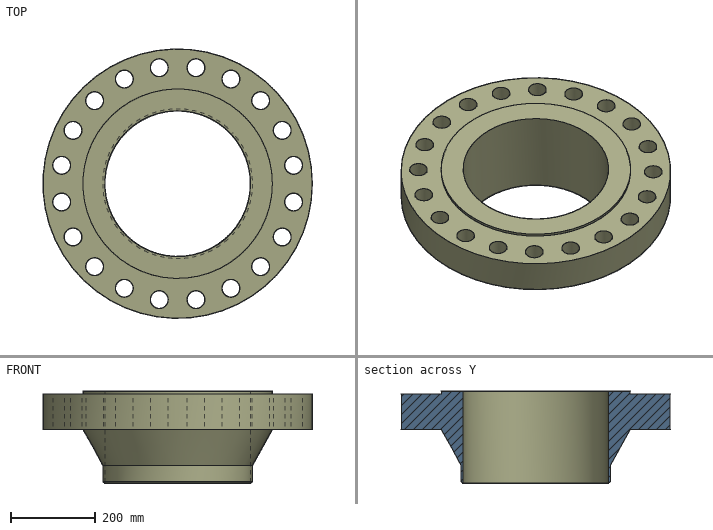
import cadquery as cq

flange_diameter = 641.5
total_height = 219.5

raised_face_diameter = 451.0
raised_face_height = 6.5
flange_thickness = 85.0

hub_base_diameter = 451.0
neck_diameter = 356.5
neck_height = 42.5
bore_diameter = 346.0
bevel_height = 4.0
bevel_width = 4.5

bolt_count = 20
bolt_circle_diameter = 558.5
bolt_hole_diameter = 42.0
bolt_pitch_angle = 360 / bolt_count

flange_top = total_height - raised_face_height
flange_bottom = flange_top - flange_thickness


def revolved_body():
    """Revolve the half section, bore included, about the Z axis."""
    bore_radius = bore_diameter / 2
    neck_radius = neck_diameter / 2
    section = [
        (bore_radius, 0),
        (neck_radius - bevel_width, 0),
        (neck_radius, bevel_height),
        (neck_radius, neck_height),
        (hub_base_diameter / 2, flange_bottom),
        (flange_diameter / 2, flange_bottom),
        (flange_diameter / 2, flange_top),
        (raised_face_diameter / 2, flange_top),
        (raised_face_diameter / 2, total_height),
        (bore_radius, total_height),
    ]
    return cq.Workplane("XZ").polyline(section).close().revolve(360, (0, 0), (0, 1))


def bolt_holes():
    """Cylinders that pass through the flange disc."""
    return (
        cq.Workplane("XY")
        .workplane(offset=flange_bottom)
        .polarArray(bolt_circle_diameter / 2, bolt_pitch_angle / 2, 360, bolt_count)
        .circle(bolt_hole_diameter / 2)
        .extrude(flange_thickness)
    )


result = revolved_body().cut(bolt_holes())